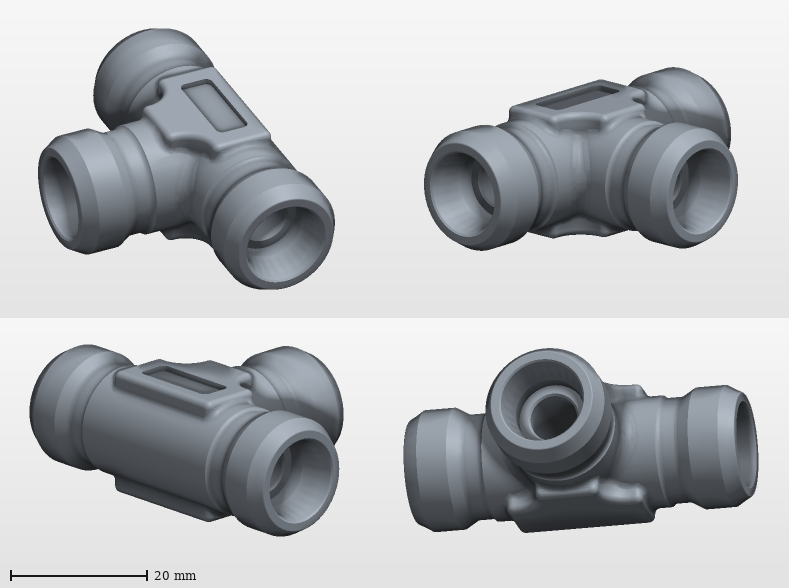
import cadquery as cq
import math

port_reach = 25.0

body_radius = 8.25
neck_radius = 7.8
collar_radius = 9.0
collar_start = 18.25
collar_end = 22.75
collar_slope = math.tan(math.radians(30))
step_start = 13.1
neck_blend = 1.0
rim_round = 0.25

bore_radius = 3.5
bore_chamfer = 0.3
socket_radius = 5.1
socket_depth = 7.5
cone_mouth_radius = 6.2
cone_slope = math.tan(math.radians(12))
mouth_chamfer = 0.25

crotch_radius = 2.0

pad_height = 9.4
pad_half_length = 10.25
pad_back = 4.85
pad_shoulder = -4.7
pad_front = -9.75
pad_stem_half_width = 4.75
pad_waist_radius = 3.95
pad_round = 1.0
pad_base_round = 1.0

recess_length = 14.0
recess_width = 5.0
recess_corner = 1.0
recess_depth = 0.9

margin = 0.05
foot_floor = 5.0


def arm_outside():
    """Solid of revolution for one arm, pointing along +X."""
    step_height = body_radius - neck_radius
    step_end = step_start + math.sqrt(neck_blend**2 - (neck_blend - step_height) ** 2)
    cone_start = collar_start - (collar_radius - neck_radius) / collar_slope
    rim_radius = collar_radius - (port_reach - collar_end) * collar_slope
    arm = (
        cq.Workplane("XY")
        .lineTo(0, body_radius)
        .lineTo(step_start, body_radius)
        .radiusArc((step_end, neck_radius), -neck_blend)
        .lineTo(cone_start, neck_radius)
        .lineTo(collar_start, collar_radius)
        .lineTo(collar_end, collar_radius)
        .lineTo(port_reach, rim_radius)
        .lineTo(port_reach, 0)
        .close()
        .revolve(360, (0, 0, 0), (1, 0, 0))
    )
    arm = arm.faces(">X").edges().fillet(rim_round)
    neck_edge = cq.selectors.BoxSelector(
        (cone_start - margin, -collar_radius, -collar_radius),
        (cone_start + margin, collar_radius, collar_radius),
        boundingbox=True,
    )
    return arm.edges("%CIRCLE").edges(neck_edge).fillet(neck_blend)


def arm_inside():
    """Stepped and tapered bore of one arm, pointing along +X."""
    floor = port_reach - socket_depth
    cone_bottom = port_reach - (cone_mouth_radius - socket_radius) / cone_slope
    cone_top = port_reach - mouth_chamfer
    return (
        cq.Workplane("XY")
        .polyline([
            (0, 0),
            (0, bore_radius),
            (floor - bore_chamfer, bore_radius),
            (floor, bore_radius + bore_chamfer),
            (floor, socket_radius),
            (cone_bottom, socket_radius),
            (cone_top, cone_mouth_radius),
            (port_reach, cone_mouth_radius + mouth_chamfer),
            (port_reach, 0),
        ])
        .close()
        .revolve(360, (0, 0, 0), (1, 0, 0))
    )


def at_each_port(arm):
    """Copies of an arm for the +X, -X and -Y ports, joined together."""
    joined = arm
    for angle in (180, -90):
        joined = joined.union(arm.rotate((0, 0, 0), (0, 0, 1), angle))
    return joined


def pad():
    """T-shaped slab through the crossing whose ends are the two pads."""
    waist_x = pad_stem_half_width + pad_waist_radius
    waist_y = pad_shoulder - pad_waist_radius
    slab = (
        cq.Workplane("XY", origin=(0, 0, -pad_height))
        .moveTo(-pad_half_length, pad_back)
        .lineTo(pad_half_length, pad_back)
        .lineTo(pad_half_length, pad_shoulder)
        .lineTo(waist_x, pad_shoulder)
        .radiusArc((pad_stem_half_width, waist_y), -pad_waist_radius)
        .lineTo(pad_stem_half_width, pad_front)
        .lineTo(-pad_stem_half_width, pad_front)
        .lineTo(-pad_stem_half_width, waist_y)
        .radiusArc((-waist_x, pad_shoulder), -pad_waist_radius)
        .lineTo(-pad_half_length, pad_shoulder)
        .close()
        .extrude(2 * pad_height)
    )
    slab_corners = slab.edges("|Z").edges(">X or <X or <Y")
    slab = slab_corners.fillet(pad_round)
    return slab.faces(">Z or <Z").edges().fillet(pad_round)


def is_pad_foot(edge):
    """True for an edge where a pad wall stands on the round arms."""
    box = edge.BoundingBox()
    center = edge.Center()
    lowest = min(abs(box.zmin), abs(box.zmax))
    highest = max(abs(box.zmin), abs(box.zmax))
    inside_length = abs(center.x) < pad_half_length + margin
    inside_width = pad_front - margin < center.y < pad_back + margin
    on_arms = lowest > foot_floor and highest < pad_height - pad_round - margin
    upright = edge.geomType() == "LINE" and box.zlen > margin
    return inside_length and inside_width and on_arms and not upright


def marking_recess():
    """Shallow rounded pocket volume below the upper pad face."""
    return (
        cq.Workplane("XY", origin=(0, 0, pad_height - recess_depth))
        .rect(recess_length, recess_width)
        .extrude(recess_depth)
        .edges("|Z")
        .fillet(recess_corner)
    )


body = at_each_port(arm_outside()).union(pad())
body = body.edges("%ELLIPSE").fillet(crotch_radius)
body = body.edges().filter(is_pad_foot).fillet(pad_base_round)
result = body.cut(at_each_port(arm_inside())).cut(marking_recess())